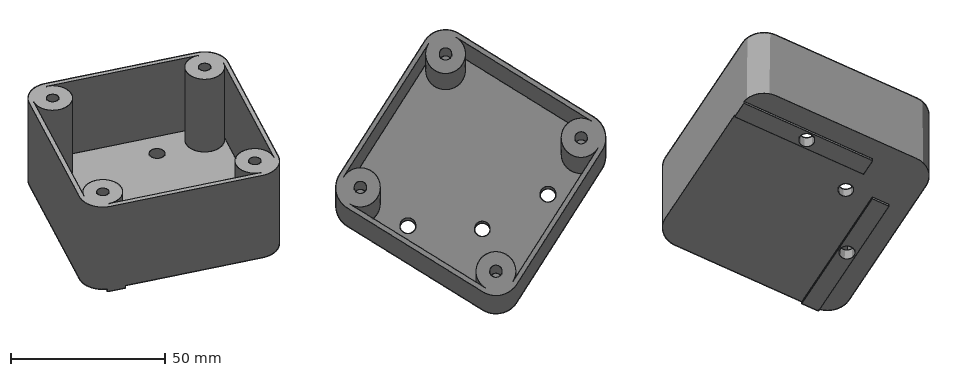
import cadquery as cq
import math

side = 68.0
total_height = 35.0
foot_height = 1.0
corner_radius = 8.0
wall = 1.55
floor_thickness = 4.0

post_radius = corner_radius - wall
post_offset = side / 2 - corner_radius
bore_diameter = 4.0
bore_depth = 14.95
bore_tip_angle = 118.0

outer_hole_diameter = 5.2
outer_hole_far = -23.95
outer_hole_near = 9.05
middle_hole_diameter = 5.0
middle_hole_offset = -12.0

foot_width = 6.2
foot_start = -13.7

outer_hole_centers = [(outer_hole_far, outer_hole_near), (outer_hole_near, outer_hole_far)]
middle_hole_centers = [(middle_hole_offset, middle_hole_offset)]
post_centers = [(x, y) for x in (-post_offset, post_offset) for y in (-post_offset, post_offset)]


def rounded_block(bottom, top):
    """Full outer outline of the box between two heights."""
    block = cq.Workplane("XY").workplane(offset=bottom).rect(side, side).extrude(top - bottom)
    return block.edges("|Z").fillet(corner_radius)


def cavity():
    """Square inner space, whose corners are filled later by the posts."""
    cavity_floor = foot_height + floor_thickness
    inner_side = side - 2 * wall
    plane = cq.Workplane("XY").workplane(offset=cavity_floor)
    space = plane.rect(inner_side, inner_side).extrude(total_height - cavity_floor)
    return space.edges("|Z").fillet(post_radius)


def posts():
    plane = cq.Workplane("XY").workplane(offset=foot_height)
    return plane.pushPoints(post_centers).circle(post_radius).extrude(total_height - foot_height)


def screw_bore(x, y):
    """Blind drilled bore with a conical tip, opening at the top of a post."""
    radius = bore_diameter / 2
    tip_length = radius / math.tan(math.radians(bore_tip_angle / 2))
    bore_bottom = total_height - bore_depth
    profile = (
        cq.Workplane("XZ")
        .moveTo(0, total_height)
        .lineTo(radius, total_height)
        .lineTo(radius, bore_bottom)
        .lineTo(0, bore_bottom - tip_length)
        .close()
    )
    return profile.revolve(360, (0, 0, 0), (0, 1, 0)).translate((x, y, 0))


def feet():
    """Two straight strips through the outer holes, running to the +X and +Y walls."""
    length = side / 2 - foot_start
    middle = (side / 2 + foot_start) / 2
    plane = cq.Workplane("XY")
    strip_along_x = plane.center(middle, outer_hole_far).rect(length, foot_width).extrude(foot_height)
    strip_along_y = plane.center(outer_hole_far, middle).rect(foot_width, length).extrude(foot_height)
    return strip_along_x.union(strip_along_y).intersect(rounded_block(0, foot_height))


def floor_holes(centers, diameter):
    return cq.Workplane("XY").pushPoints(centers).circle(diameter / 2).extrude(total_height)


result = rounded_block(foot_height, total_height).cut(cavity()).union(posts()).union(feet())
result = result.cut(floor_holes(outer_hole_centers, outer_hole_diameter))
result = result.cut(floor_holes(middle_hole_centers, middle_hole_diameter))
for post_x, post_y in post_centers:
    result = result.cut(screw_bore(post_x, post_y))